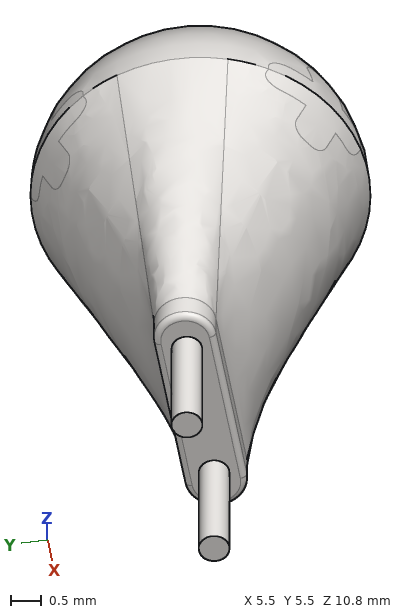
import cadquery as cq
import math

total_height = 10.85
dome_radius = 2.75
equator_z = total_height - dome_radius

foot_length = 3.85
foot_width = 1.01
foot_bottom_z = 2.1
foot_top_z = 2.6
foot_edge_radius = 0.11

corner_y = 0.91
corner_x = math.sqrt(dome_radius**2 - corner_y**2)

lead_diameter = 0.5
lead_pitch = 2.5

plus_x = -1.38
plus_span = 1.82
plus_stroke = 0.63
plus_corner_radius = 0.25
plus_inner_y = 1.3


def rounded_loop(z, x, y, end_x, side_y):
    """Closed loop of two sides and two arc ends; the sides bulge out to side_y."""
    loop = cq.Workplane("XY", origin=(0, 0, z)).moveTo(-x, -y)
    if side_y > y:
        loop = loop.threePointArc((0, -side_y), (x, -y))
    else:
        loop = loop.lineTo(x, -y)
    loop = loop.threePointArc((end_x, 0), (x, y))
    if side_y > y:
        loop = loop.threePointArc((0, side_y), (-x, y))
    else:
        loop = loop.lineTo(-x, y)
    return loop.threePointArc((-end_x, 0), (-x, -y)).close()


def make_dome():
    return (
        cq.Workplane("XZ")
        .moveTo(0, equator_z)
        .lineTo(dome_radius, equator_z)
        .radiusArc((0, total_height), -dome_radius)
        .close()
        .revolve(360, (0, 0), (0, 1))
    )


def make_neck():
    """Straight-ruled transition from the slot-shaped foot to the round dome."""
    half_width = foot_width / 2
    foot_loop = rounded_loop(
        foot_top_z, foot_length / 2 - half_width, half_width, foot_length / 2, half_width
    )
    dome_loop = rounded_loop(equator_z, corner_x, corner_y, dome_radius, dome_radius)
    wires = [foot_loop.wire().val(), dome_loop.wire().val()]
    return cq.Workplane(cq.Solid.makeLoft(wires, True))


def make_foot():
    return (
        cq.Workplane("XY", origin=(0, 0, foot_bottom_z))
        .slot2D(foot_length, foot_width)
        .extrude(foot_top_z - foot_bottom_z)
        .faces("<Z")
        .edges()
        .fillet(foot_edge_radius)
    )


def make_leads():
    return (
        cq.Workplane("XY")
        .pushPoints([(-lead_pitch / 2, 0), (lead_pitch / 2, 0)])
        .circle(lead_diameter / 2)
        .extrude(foot_bottom_z)
    )


def make_plus_bar(length, height):
    """Bar along Y with rounded corners, reaching through both sides of the body."""
    return (
        cq.Workplane("XZ", origin=(plus_x, 0, equator_z))
        .rect(length, height)
        .extrude(dome_radius, both=True)
        .edges("|Y")
        .fillet(plus_corner_radius)
    )


def make_plus_prisms():
    core = cq.Workplane("XY", origin=(0, 0, equator_z)).box(
        2 * dome_radius, 2 * plus_inner_y, 2 * dome_radius
    )
    plus = make_plus_bar(plus_span, plus_stroke).union(make_plus_bar(plus_stroke, plus_span))
    return plus.cut(core)


body = make_dome().union(make_neck()).union(make_foot()).union(make_leads())

inlays = body.intersect(make_plus_prisms())
result = body.union(inlays, clean=False)